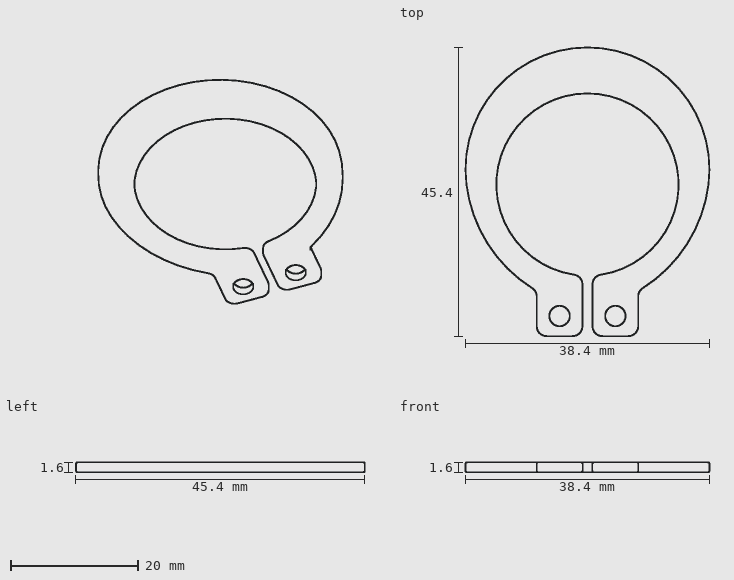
import cadquery as cq
import math

length = 45.4
width = 38.35
thickness = 1.6
ring_top = 21.55
bore_radius = 14.3
flank_radius = 22.6

gap = 1.55
lug_width = 7.2
corner_radius = 1.6
root_radius = 1.5
hole_diameter = 3.2
hole_from_end = 3.2
edge_radius = 0.25

crown_radius = width / 2
crown_y = ring_top - crown_radius
lug_end_y = ring_top - length
lug_inner_x = gap / 2
lug_outer_x = lug_inner_x + lug_width
hole_x = lug_inner_x + lug_width / 2

tangent_x = math.sqrt(crown_radius**2 - crown_y**2)
flank_x = tangent_x * (1 - flank_radius / crown_radius)
flank_y = crown_y * flank_radius / crown_radius


def flank_point(x):
    """Point on the right lower flank arc at the given X."""
    return x, flank_y - math.sqrt(flank_radius**2 - (x - flank_x) ** 2)


def mirrored(point):
    return -point[0], point[1]


def ring_blank():
    """Flat ring with two lugs, all lug corners still sharp."""
    tangent_point = (tangent_x, 0)
    lug_root = flank_point(lug_outer_x)
    flank_middle = flank_point((tangent_x + lug_outer_x) / 2)
    lug_outer_end = (lug_outer_x, lug_end_y)
    lug_inner_end = (lug_inner_x, lug_end_y)
    bore_end = (lug_inner_x, -math.sqrt(bore_radius**2 - lug_inner_x**2))
    return (
        cq.Workplane("XY")
        .moveTo(*mirrored(tangent_point))
        .threePointArc((0, ring_top), tangent_point)
        .threePointArc(flank_middle, lug_root)
        .lineTo(*lug_outer_end)
        .lineTo(*lug_inner_end)
        .lineTo(*bore_end)
        .threePointArc((0, bore_radius), mirrored(bore_end))
        .lineTo(*mirrored(lug_inner_end))
        .lineTo(*mirrored(lug_outer_end))
        .lineTo(*mirrored(lug_root))
        .threePointArc(mirrored(flank_middle), mirrored(tangent_point))
        .close()
        .extrude(thickness)
    )


def round_lug_corners(ring):
    """Round the lug ends, the mouth of the bore and the lug roots."""
    root_y = flank_point(lug_outer_x)[1]
    roots = ring.edges("|Z").edges(cq.selectors.BoxSelector(
        (-lug_outer_x - edge_radius, root_y - edge_radius, 0),
        (lug_outer_x + edge_radius, root_y + edge_radius, thickness),
    ))
    ring = roots.fillet(root_radius)
    for corner_x, corner_y in (
        (lug_outer_x, lug_end_y),
        (lug_inner_x, lug_end_y),
        (lug_inner_x, -bore_radius),
    ):
        for side in (-1, 1):
            corner = cq.selectors.NearestToPointSelector((side * corner_x, corner_y, thickness / 2))
            ring = ring.edges("|Z").edges(corner).fillet(corner_radius)
    return ring


def soften_outline(ring):
    """Round the whole outline on both flat faces."""
    return ring.faces("<Z or >Z").edges().fillet(edge_radius)


def drill_plier_holes(ring):
    """Sharp-edged through hole in each lug."""
    drills = (
        cq.Workplane("XY")
        .pushPoints([(side * hole_x, lug_end_y + hole_from_end) for side in (-1, 1)])
        .circle(hole_diameter / 2)
        .extrude(thickness)
    )
    return ring.cut(drills)


result = drill_plier_holes(soften_outline(round_lug_corners(ring_blank())))